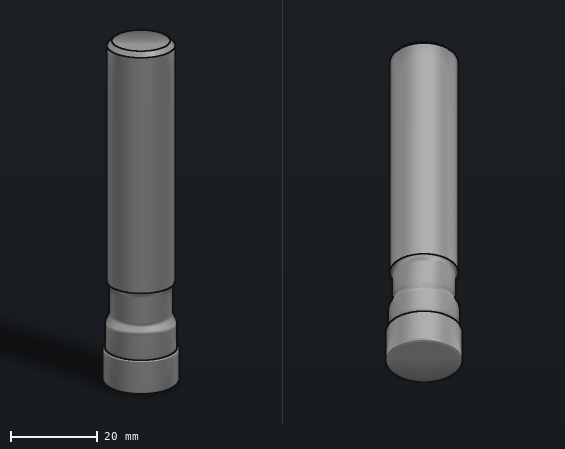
import cadquery as cq
import math

length = 85.0

head_radius = 9.0
head_wall_top = 8.2
head_top_fillet = 0.3
head_height = head_wall_top + head_top_fillet
head_bottom_fillet = 0.85

collar_diameter = 16.75
collar_radius = collar_diameter / 2
neck_diameter = 14.9
neck_radius = neck_diameter / 2
stem_radius = 8.0
stem_bottom = 25.0
stem_top_chamfer = 1.2

cone_angle = math.radians(27.0)
blend_radius = 2.0
collar_cone_bottom = 15.5

blend_height = blend_radius * math.sin(cone_angle)
blend_depth = blend_radius * (1 - math.cos(cone_angle))
half_blend_height = blend_radius * math.sin(cone_angle / 2)
half_blend_depth = blend_radius * (1 - math.cos(cone_angle / 2))

collar_top = collar_cone_bottom - blend_height
collar_cone_width = collar_radius - neck_radius - 2 * blend_depth
collar_cone_top = collar_cone_bottom + collar_cone_width / math.tan(cone_angle)
neck_bottom = collar_cone_top + blend_height
stem_cone_width = stem_radius - neck_radius - blend_depth
stem_cone_bottom = stem_bottom - stem_cone_width / math.tan(cone_angle)
neck_top = stem_cone_bottom - blend_height


def make_head():
    head = cq.Workplane("XY").circle(head_radius).extrude(head_height)
    head = head.faces(">Z").edges().fillet(head_top_fillet)
    return head.faces("<Z").edges().fillet(head_bottom_fillet)


def make_shank():
    """Revolve the half outline of the shank; it stands on the flat top of the head."""
    outline = (
        cq.Workplane("XZ")
        .moveTo(0, head_height)
        .lineTo(collar_radius, head_height)
        .lineTo(collar_radius, collar_top)
        .threePointArc(
            (collar_radius - half_blend_depth, collar_top + half_blend_height),
            (collar_radius - blend_depth, collar_cone_bottom),
        )
        .lineTo(neck_radius + blend_depth, collar_cone_top)
        .threePointArc(
            (neck_radius + half_blend_depth, neck_bottom - half_blend_height),
            (neck_radius, neck_bottom),
        )
        .lineTo(neck_radius, neck_top)
        .threePointArc(
            (neck_radius + half_blend_depth, neck_top + half_blend_height),
            (neck_radius + blend_depth, stem_cone_bottom),
        )
        .lineTo(stem_radius, stem_bottom)
        .lineTo(stem_radius, length - stem_top_chamfer)
        .lineTo(stem_radius - stem_top_chamfer, length)
        .lineTo(0, length)
        .close()
    )
    return outline.revolve(360, (0, 0, 0), (0, 1, 0))


head = make_head()
shank = make_shank()

result = cq.Compound.makeCompound([head.val(), shank.val()])